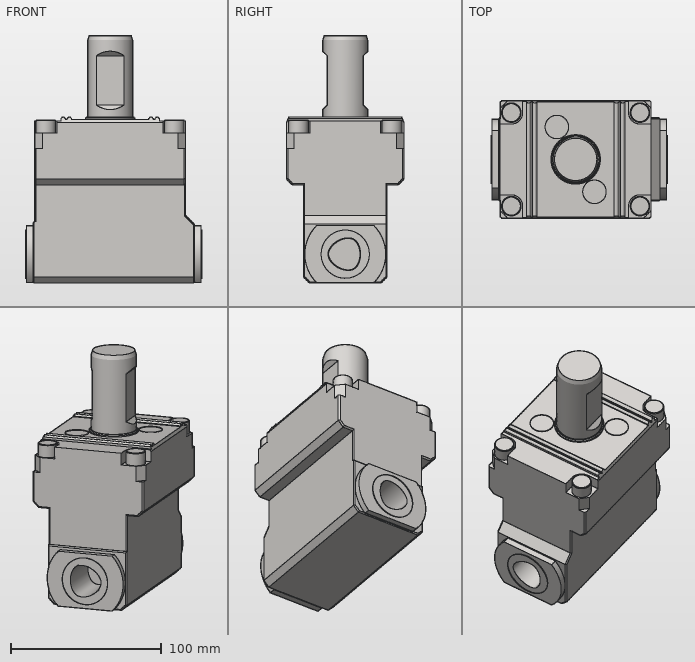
import cadquery as cq
import math

body_half_length = 50.0
column_half_width = 27.7
head_half_width = 39.0
head_bottom = 65.0
head_top = 107.6
head_end_chamfer = 1.0
column_end_chamfer = 0.8
long_chamfer = 4.0

foot_left = -51.2
foot_right = 56.0
foot_left_top = 40.7
foot_right_top = 39.0

panel_top = 108.5
rib_positions = (27.0, 31.2)
rib_radius = 1.0
rib_foot_half_width = 1.55
rib_height = 1.6
rib_side_angle = math.radians(45)
panel_half_length = rib_positions[-1] + rib_foot_half_width
bevel_bottom = 106.5
bevel_inset = 1.6

mark_diameter = 15.5
mark_x = 12.5
mark_y = 21.5
mark_depth = 0.5

bolt_x = 42.6
bolt_y = 31.0
bolt_diameter = 13.0
bolt_top = 108.2
bolt_chamfer = 0.5
pocket_radius = 7.5
pocket_floor = 99.5
corner_cut = 5.1
corner_cut_bottom = 89.2

shaft_diameter = 30.0
shaft_top = 164.0
shaft_tip_length = 3.1
shaft_tip_inset = 1.0
flat_half_width = 12.0
flat_bottom = 118.0
flat_top = 150.7
collar_diameter = 32.8
collar_top = 110.0
collar_chamfer = 0.7

port_z = 19.2
flange_diameter = 53.6
flange_half_height = 18.9
flange_thickness = 4.5
disc_diameter = 32.0
disc_thickness = 0.5

bore_mean_radius = 10.8
bore_lobe = 0.7
bore_taper = 0.41
bore_depth = 32.8


def make_column():
    """Column and foot, reaching up to the top face of the head."""
    slope = foot_right - body_half_length
    outline = [
        (-body_half_length, head_top),
        (-body_half_length, foot_left_top),
        (foot_left, foot_left_top),
        (foot_left, 0),
        (foot_right, 0),
        (foot_right, foot_right_top),
        (body_half_length, foot_right_top + slope),
        (body_half_length, head_top),
    ]
    column = cq.Workplane("XZ").polyline(outline).close().extrude(column_half_width, both=True)
    column = column.faces("<Z").edges("|X").chamfer(long_chamfer)
    end_sides = "(not |X) and (not |Y)"
    foot_ends = "(|Y and <X) or (|Y and <Z)"
    return column.edges(f"({end_sides}) or ({foot_ends})").chamfer(column_end_chamfer)


def make_head():
    """Wide block on the column; every edge of its end faces is chamfered except the top one."""
    height = head_top - head_bottom
    head = (
        cq.Workplane("XY", origin=(0, 0, head_bottom))
        .rect(2 * body_half_length, 2 * head_half_width)
        .extrude(height)
    )
    head = head.faces("<Z").edges("|X").chamfer(long_chamfer)
    return head.faces("<X or >X").edges("not >Z").chamfer(head_end_chamfer)


def make_rib(x):
    """Rib along Y with a round crest and sloping sides."""
    crest = panel_top + rib_height
    crest_centre = crest - rib_radius
    tangent_x = rib_radius * math.sin(rib_side_angle)
    tangent_z = crest_centre + rib_radius * math.cos(rib_side_angle)
    side_bottom = tangent_z - (rib_foot_half_width - tangent_x) * math.tan(rib_side_angle)
    return (
        cq.Workplane("XZ")
        .moveTo(x - rib_foot_half_width, head_top)
        .lineTo(x - rib_foot_half_width, side_bottom)
        .lineTo(x - tangent_x, tangent_z)
        .threePointArc((x, crest), (x + tangent_x, tangent_z))
        .lineTo(x + rib_foot_half_width, side_bottom)
        .lineTo(x + rib_foot_half_width, head_top)
        .close()
        .extrude(head_half_width, both=True)
    )


def make_panel():
    panel = (
        cq.Workplane("XY", origin=(0, 0, head_top))
        .rect(2 * panel_half_length, 2 * head_half_width)
        .extrude(panel_top - head_top)
    )
    for x in rib_positions:
        panel = panel.union(make_rib(x)).union(make_rib(-x))
    return panel


def make_bevel_cutter():
    """Wedge that slopes the +Y side of the top edge of the head, panel and ribs."""
    rib_top = panel_top + rib_height
    return (
        cq.Workplane("YZ")
        .polyline([
            (head_half_width, bevel_bottom),
            (head_half_width - bevel_inset, rib_top),
            (head_half_width, rib_top),
        ])
        .close()
        .extrude(body_half_length, both=True)
    )


def make_corner_pocket(x_side, y_side):
    """Bolt pocket that is open towards one corner, with a rounded inner corner."""
    size = 4 * pocket_radius
    offset = size / 2 - pocket_radius
    return (
        cq.Workplane("XY", origin=(0, 0, pocket_floor))
        .center(x_side * (bolt_x + offset), y_side * (bolt_y + offset))
        .rect(size, size)
        .extrude(collar_top - pocket_floor)
        .edges("|Z")
        .fillet(pocket_radius)
    )


def make_corner_cut(x_side, y_side):
    """Triangular prism that slants the vertical corner below a pocket."""
    x = x_side * body_half_length
    y = y_side * head_half_width
    return (
        cq.Workplane("XY", origin=(0, 0, corner_cut_bottom))
        .polyline([(x, y), (x - x_side * corner_cut, y), (x, y - y_side * corner_cut)])
        .close()
        .extrude(pocket_floor - corner_cut_bottom)
    )


def make_bolt(x_side, y_side):
    return (
        cq.Workplane("XY", origin=(x_side * bolt_x, y_side * bolt_y, pocket_floor))
        .circle(bolt_diameter / 2)
        .extrude(bolt_top - pocket_floor)
        .faces(">Z")
        .chamfer(bolt_chamfer)
    )


def make_shaft():
    """Turned shaft with a collar at its root and two flats that run out at 45 degrees."""
    radius = shaft_diameter / 2
    shaft = (
        cq.Workplane("XZ")
        .polyline([
            (0, head_top),
            (radius, head_top),
            (radius, shaft_top - shaft_tip_length),
            (radius - shaft_tip_inset, shaft_top),
            (0, shaft_top),
        ])
        .close()
        .revolve(360, (0, 0), (0, 1))
    )
    flat_depth = radius - flat_half_width
    flat = (
        cq.Workplane("YZ")
        .polyline([
            (flat_half_width, flat_bottom),
            (flat_half_width, flat_top),
            (radius, flat_top + flat_depth),
            (radius, flat_bottom - flat_depth),
        ])
        .close()
        .extrude(radius, both=True)
    )
    collar = (
        cq.Workplane("XY", origin=(0, 0, head_top))
        .circle(collar_diameter / 2)
        .extrude(collar_top - head_top)
        .faces(">Z")
        .chamfer(collar_chamfer)
    )
    return shaft.cut(flat).cut(flat.mirror("XZ")).union(collar)


def make_flange(face_x, side):
    """Round flange with flat top and bottom, and a thin disc on its outer face."""
    plate = (
        cq.Workplane("YZ", origin=(face_x, 0, port_z))
        .circle(flange_diameter / 2)
        .extrude(side * flange_thickness)
    )
    flats = cq.Workplane("XY", origin=(face_x, 0, port_z)).box(
        2 * flange_thickness, flange_diameter, 2 * flange_half_height
    )
    disc = (
        cq.Workplane("YZ", origin=(face_x, 0, port_z))
        .circle(disc_diameter / 2)
        .extrude(side * (flange_thickness + disc_thickness))
    )
    return plate.intersect(flats).union(disc)


def bore_outline(mean_radius):
    """Curve of constant width with three lobes, one of them pointing to -Y."""
    def point(t):
        angle = 2 * math.pi * t
        reach = mean_radius + bore_lobe * math.cos(3 * angle)
        slide = -3 * bore_lobe * math.sin(3 * angle)
        y = -(reach * math.cos(angle) - slide * math.sin(angle))
        z = reach * math.sin(angle) + slide * math.cos(angle)
        return (y, z)
    return point


def make_bore(mouth_x, side):
    """Tapered three-lobed bore running inwards from the mouth."""
    return (
        cq.Workplane("YZ", origin=(mouth_x, 0, port_z))
        .parametricCurve(bore_outline(bore_mean_radius))
        .workplane(offset=-side * bore_depth)
        .parametricCurve(bore_outline(bore_mean_radius - bore_taper))
        .loft(combine=False)
    )


bevel = make_bevel_cutter()
body = make_column().union(make_head()).union(make_panel())
body = body.cut(bevel).cut(bevel.mirror("XZ"))

for x_side in (-1, 1):
    for y_side in (-1, 1):
        body = body.cut(make_corner_pocket(x_side, y_side))
        body = body.cut(make_corner_cut(x_side, y_side))
        body = body.union(make_bolt(x_side, y_side))

marks = (
    cq.Workplane("XY", origin=(0, 0, panel_top - mark_depth))
    .pushPoints([(-mark_x, mark_y), (mark_x, -mark_y)])
    .circle(mark_diameter / 2)
    .extrude(mark_depth)
)
body = body.cut(marks)

body = body.union(make_shaft())

for face_x, side in ((foot_left, -1), (foot_right, 1)):
    body = body.union(make_flange(face_x, side))
    mouth_x = face_x + side * (flange_thickness + disc_thickness)
    body = body.cut(make_bore(mouth_x, side))

result = body